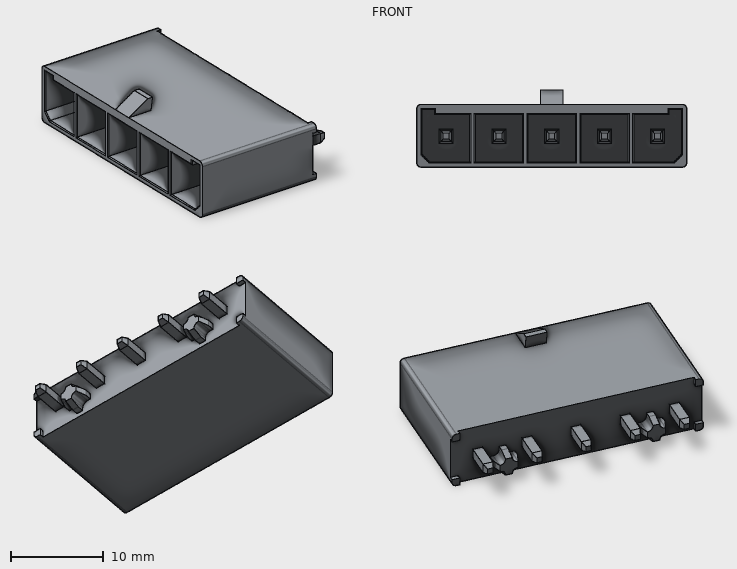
import cadquery as cq


housing_width = 29.15
housing_height = 6.8
housing_depth = 14.8
corner_radius = 0.5
side_wall = 0.58
bottom_wall = 0.58

foot_size = 0.9
foot_length = 0.5

pin_count = 5
pin_row_length = 22.8
pitch = pin_row_length / (pin_count - 1)
pin_height = 3.35
pin_xs = [(index - (pin_count - 1) / 2) * pitch for index in range(pin_count)]

pocket_size = 5.1
pocket_depth = 11.65
pocket_top = bottom_wall + pocket_size
mouth_chamfer = 0.12
end_pocket_chamfer = 0.82
key_slot_width = 1.35
key_slot_top = 6.2

pin_size = 1.15
pin_tip_size = 0.65
pin_taper_length = 0.73
pin_start = 4.37
pin_end = 18.5

countersink_size = 1.55
countersink_depth = 0.2

latch_width = 2.45
latch_top = 8.35
latch_rise = latch_top - housing_height
latch_ramp_end = 2.55
latch_tip = 3.18
latch_root = 2.97

peg_spacing = 3 * pitch
peg_height = 2.07
peg_length = 1.95
peg_straight_length = 0.73
peg_base_size = 2.92
peg_tip_size = 2.13
peg_arm_width = 0.8


def block(x_min, x_max, y_min, y_max, z_min, z_max):
    """Box given by its limits along each axis."""
    size = (x_max - x_min, y_max - y_min, z_max - z_min)
    return cq.Workplane("XY").box(*size, centered=False).translate((x_min, y_min, z_min))


def plane_at(x, y, z):
    """Workplane with X to the right and Z up; a negative extrusion runs toward +Y."""
    return cq.Workplane("XZ", origin=(x, y, z))


def square_frustum(x, y, z, start_size, end_size, length):
    """Square taper that runs toward +Y from start_size to end_size."""
    start = plane_at(x, y, z).rect(start_size, start_size)
    return start.workplane(offset=-length).rect(end_size, end_size).loft(combine=True)


def make_shell():
    """Rounded block whose back is cut away except for a foot at each corner."""
    full_depth = housing_depth + foot_length
    half_width = housing_width / 2
    shell = block(-half_width, half_width, 0, full_depth, 0, housing_height)
    shell = shell.edges("|Y").fillet(corner_radius)
    inner_half_width = half_width - foot_size
    upper_foot = housing_height - foot_size
    shell = shell.cut(block(-half_width, half_width, housing_depth, full_depth, foot_size, upper_foot))
    return shell.cut(block(-inner_half_width, inner_half_width, housing_depth, full_depth, 0, housing_height))


def make_inner_pocket(x):
    """Plain square pocket."""
    half = pocket_size / 2
    return block(x - half, x + half, 0, pocket_depth, bottom_wall, pocket_top)


def make_left_end_pocket():
    """Pocket at the -X end, with a cut lower corner and a key slot in its upper corner."""
    left = side_wall - housing_width / 2
    right = pin_xs[0] + pocket_size / 2
    pocket = block(left, right, 0, pocket_depth, bottom_wall, pocket_top)
    pocket = pocket.edges("|Y and <X and <Z").chamfer(end_pocket_chamfer)
    key_slot = block(left, left + key_slot_width, 0, pocket_depth, pocket_top - pocket_size / 2, key_slot_top)
    return pocket.union(key_slot).clean()


def cut_pockets(housing):
    left_pocket = make_left_end_pocket()
    pockets = [left_pocket, left_pocket.mirror("YZ")]
    pockets += [make_inner_pocket(x) for x in pin_xs[1:-1]]
    for pocket in pockets:
        housing = housing.cut(pocket)
    mouth_wires = housing.faces("<Y").val().innerWires()
    mouth_edges = [edge for wire in mouth_wires for edge in wire.Edges()]
    return housing.newObject(mouth_edges).chamfer(mouth_chamfer)


def make_latch():
    """Ramp that climbs from the mouth to an undercut back face."""
    profile = [(0, 0), (latch_ramp_end, latch_rise), (latch_tip, latch_rise), (latch_root, 0)]
    sketch = cq.Workplane("YZ", origin=(0, 0, housing_height)).polyline(profile).close()
    return sketch.extrude(latch_width / 2, both=True)


def make_peg(x):
    """Cross with concave corners; its four arms have ribs that taper toward the tip."""
    core = plane_at(x, housing_depth, peg_height).rect(peg_tip_size, peg_tip_size).extrude(-peg_length)
    corner_groove_radius = (peg_tip_size - peg_arm_width) / 2
    grooves = (
        plane_at(x, housing_depth, peg_height)
        .rect(peg_tip_size, peg_tip_size, forConstruction=True)
        .vertices()
        .circle(corner_groove_radius)
        .extrude(-peg_length)
    )
    half_base = peg_base_size / 2
    half_tip = peg_tip_size / 2
    rib_profile = [
        (-half_base, 0),
        (half_base, 0),
        (half_base, peg_straight_length),
        (half_tip, peg_length),
        (-half_tip, peg_length),
        (-half_base, peg_straight_length),
    ]
    rib = cq.Workplane("XY").polyline(rib_profile).close().extrude(peg_arm_width / 2, both=True)
    crossed_ribs = rib.union(rib.rotate((0, 0, 0), (0, 1, 0), 90))
    return core.cut(grooves).union(crossed_ribs.translate((x, housing_depth, peg_height)))


def cut_pin_hole(housing, x):
    """Through hole for one pin, with a countersink at the pocket floor."""
    hole = plane_at(x, pocket_depth, pin_height).rect(pin_size, pin_size)
    countersink = square_frustum(x, pocket_depth, pin_height, countersink_size, pin_size, countersink_depth)
    return housing.cut(hole.extrude(pocket_depth - housing_depth)).cut(countersink)


def make_housing():
    housing = cut_pockets(make_shell())
    housing = housing.union(make_latch())
    for peg_x in (-peg_spacing / 2, peg_spacing / 2):
        housing = housing.union(make_peg(peg_x))
    for pin_x in pin_xs:
        housing = cut_pin_hole(housing, pin_x)
    return housing


def make_pin(x):
    """Straight square pin with a tapered tip at each end."""
    shank_start = pin_start + pin_taper_length
    shank_end = pin_end - pin_taper_length
    front_tip = square_frustum(x, pin_start, pin_height, pin_tip_size, pin_size, pin_taper_length)
    shank = plane_at(x, shank_start, pin_height).rect(pin_size, pin_size).extrude(shank_start - shank_end)
    back_tip = square_frustum(x, shank_end, pin_height, pin_size, pin_tip_size, pin_taper_length)
    return shank.union(front_tip).union(back_tip)


housing = make_housing()
pins = [make_pin(x) for x in pin_xs]

result = cq.Compound.makeCompound([housing.solids().val(), *[pin.solids().val() for pin in pins]])